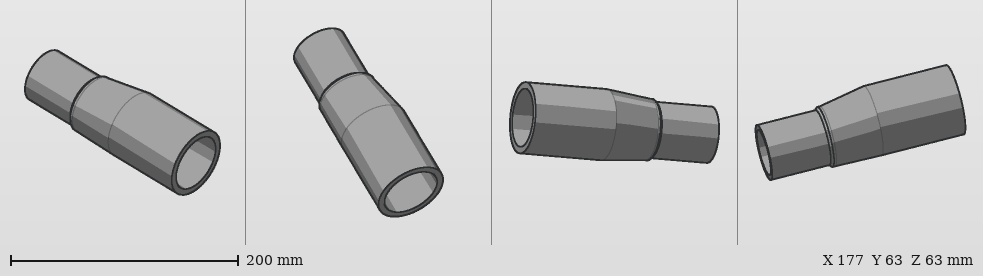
import cadquery as cq

total_length = 177.0
small_diameter = 50.0
small_bore = 40.9
large_diameter = 63.0
large_bore = 51.3
collar_diameter = 54.5

collar_start = 53.8
collar_chamfer = 2.3
taper_start = 58.2
taper_end = 101.0

small_axis_y = -(large_diameter - collar_diameter) / 2
large_axis_y = 0.0
half_length = total_length / 2


def section(x, axis_y, diameter):
    """Circle across the pipe at distance x from the small end."""
    plane = cq.Plane(origin=(x - half_length, axis_y, 0), xDir=(0, 1, 0), normal=(1, 0, 0))
    return cq.Workplane(plane).circle(diameter / 2)


def cylinder(start, end, axis_y, diameter):
    return section(start, axis_y, diameter).extrude(end - start)


def eccentric_cone(small_end_diameter, large_end_diameter):
    """Taper between the two offset pipe axes."""
    small_end = section(taper_start, small_axis_y, small_end_diameter).wires().val()
    large_end = section(taper_end, large_axis_y, large_end_diameter).wires().val()
    return cq.Workplane(cq.Solid.makeLoft([small_end, large_end], True))


collar = cylinder(collar_start, taper_start, small_axis_y, collar_diameter)
collar = collar.faces("<X").chamfer(collar_chamfer)
body = (
    cylinder(0, taper_start, small_axis_y, small_diameter)
    .union(collar)
    .union(eccentric_cone(collar_diameter, large_diameter))
    .union(cylinder(taper_end, total_length, large_axis_y, large_diameter))
)

passage = (
    cylinder(0, taper_start, small_axis_y, small_bore)
    .union(eccentric_cone(small_bore, large_bore))
    .union(cylinder(taper_end, total_length, large_axis_y, large_bore))
)

result = body.cut(passage)